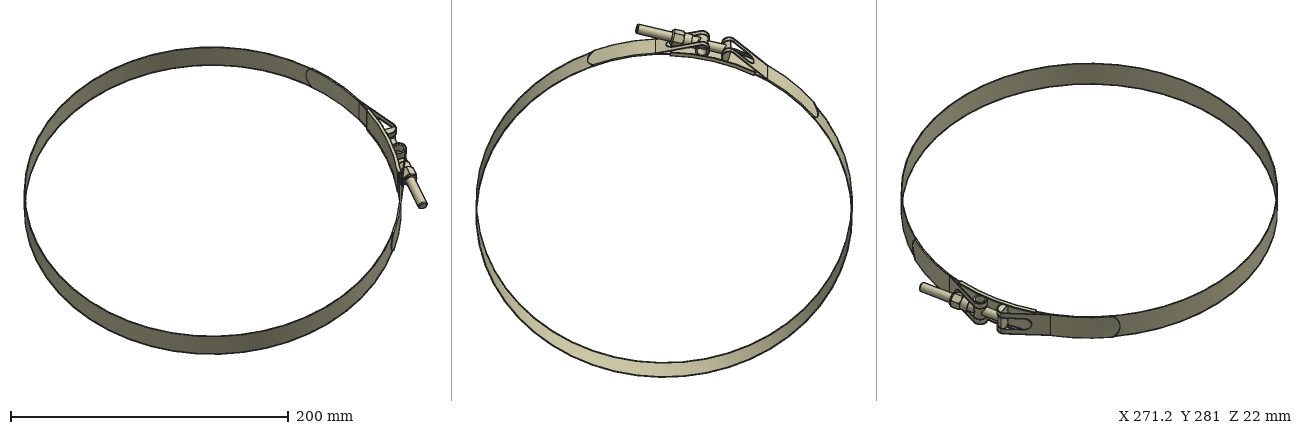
import cadquery as cq
import math


band_outer_radius = 135.61
strip_thickness = 0.6
strip_width = 20.0
loop_top_y = 145.36
loop_center_x = 10.1
kink_x = 42.0
strip_end_angle = 39.3
strip_end_rounding = 12.5

band_inner_radius = band_outer_radius - strip_thickness
ply_outer_radius = band_outer_radius + strip_thickness

loop_outer_radius = (loop_center_x**2 + loop_top_y**2 - band_inner_radius**2) / (
    2 * (loop_top_y + band_inner_radius)
)
loop_inner_radius = loop_outer_radius - strip_thickness
axis_y = loop_top_y - loop_outer_radius
loop_angle = math.degrees(math.atan2(loop_center_x, axis_y))
kink_angle = math.degrees(math.asin(kink_x / ply_outer_radius))

slot_width = 10.6
slot_end_left = 30.0
slot_end_right = 35.0

liner_half_length = 31.3
liner_web = 0.65
liner_width = 22.0
liner_lip_outer_radius = 137.0
liner_inner_radius = band_inner_radius - liner_web
liner_angle = math.degrees(math.asin(liner_half_length / liner_inner_radius))

bolt_radius = 3.5
bolt_end_x = 59.0
bolt_chamfer = 0.8
trunnion_bore_radius = 3.5
sleeve_nose_radius = 4.3
sleeve_radius = 5.0
sleeve_shoulder_x = 18.5
sleeve_end_x = 24.3
nut_across_flats = 10.4
nut_end_x = 33.0
nut_face_length = 1.2
nut_face_radius = 5.0
nut_corner_chamfer = 0.8


def polar(radius, angle):
    """Point at an angle in degrees from +Y, turning toward +X."""
    turn = math.radians(angle)
    return (radius * math.sin(turn), radius * math.cos(turn))


def loop_point(radius, angle):
    """Point on a circle around the right loop's centre, angle measured as in polar."""
    x, y = polar(radius, angle)
    return (loop_center_x + x, axis_y + y)


def sector(inner, outer, start, end, width):
    """Ring sector from the start to the end angle, centred on Z = 0."""
    middle = (start + end) / 2
    return (
        cq.Workplane("XY", origin=(0, 0, -width / 2))
        .moveTo(*polar(inner, start))
        .threePointArc(polar(inner, middle), polar(inner, end))
        .lineTo(*polar(outer, end))
        .threePointArc(polar(outer, middle), polar(outer, start))
        .close()
        .extrude(width)
    )


def cylinder_z(x, y, radius, length):
    """Cylinder along Z, centred on Z = 0."""
    return cq.Workplane("XY", origin=(x, y, -length / 2)).circle(radius).extrude(length)


def cylinder_x(start, end, radius):
    """Cylinder on the bolt axis."""
    return cq.Workplane("YZ", origin=(start, axis_y, 0)).circle(radius).extrude(end - start)


def loop_and_strap():
    """Right loop with the straight strap that runs down to the kink."""
    kink_out = polar(ply_outer_radius, kink_angle)
    kink_in = polar(band_outer_radius, kink_angle)
    run = kink_out[0] - loop_center_x
    rise = axis_y - kink_out[1]
    slope = math.atan2(rise, run) + math.asin(loop_outer_radius / math.hypot(run, rise))
    tangent = math.degrees(slope)
    touch = loop_angle - 180
    middle = (tangent + touch) / 2
    return (
        cq.Workplane("XY", origin=(0, 0, -strip_width / 2))
        .moveTo(*kink_out)
        .lineTo(*loop_point(loop_outer_radius, tangent))
        .threePointArc(loop_point(loop_outer_radius, middle), loop_point(loop_outer_radius, touch))
        .lineTo(*loop_point(loop_inner_radius, touch))
        .threePointArc(loop_point(loop_inner_radius, middle), loop_point(loop_inner_radius, tangent))
        .lineTo(*kink_in)
        .close()
        .extrude(strip_width)
    )


def outer_ply():
    """Right strip end lying on the outside of the band, with a rounded tip."""
    ply = sector(band_outer_radius, ply_outer_radius, kink_angle, strip_end_angle, strip_width)
    half_width = strip_width / 2
    corner_x = math.sqrt(strip_end_rounding**2 - half_width**2) - strip_end_rounding
    tip_shape = (
        cq.Workplane("XZ")
        .moveTo(-band_outer_radius, -half_width)
        .lineTo(corner_x, -half_width)
        .threePointArc((0, 0), (corner_x, half_width))
        .lineTo(-band_outer_radius, half_width)
        .close()
        .extrude(-2 * band_outer_radius)
        .rotate((0, 0, 0), (0, 0, 1), -strip_end_angle)
    )
    return ply.intersect(tip_shape)


def strap_slot(end_x):
    """Cutter for a round-ended slot through the right loop and strap, stopping at the band."""
    start_x = loop_center_x - 2 * loop_outer_radius
    length = end_x - start_x
    slot = (
        cq.Workplane("XZ", origin=((start_x + end_x) / 2, 0, 0))
        .slot2D(length, slot_width)
        .extrude(-2 * loop_top_y)
    )
    return slot.cut(cylinder_z(0, 0, band_outer_radius, 2 * strip_width))


def make_band():
    """Open ring with a slotted loop and an outer ply on each side."""
    band = sector(band_inner_radius, band_outer_radius, loop_angle, 360 - loop_angle, strip_width)
    ply = outer_ply()
    for slot_end, mirrored in ((slot_end_right, False), (slot_end_left, True)):
        end = loop_and_strap().cut(strap_slot(slot_end)).union(ply)
        if mirrored:
            end = end.mirror("YZ")
        band = band.union(end)
    return band


def make_liner():
    """Arc-shaped channel whose two lips enclose the edges of the band."""
    liner = sector(liner_inner_radius, liner_lip_outer_radius, -liner_angle, liner_angle, liner_width)
    channel = sector(
        band_inner_radius, 2 * liner_lip_outer_radius, -2 * liner_angle, 2 * liner_angle, strip_width
    )
    return liner.cut(channel)


def make_t_bolt():
    """Smooth shank with a half-round cross head that sits in the left loop."""
    head = cylinder_z(-loop_center_x, axis_y, loop_inner_radius, strip_width)
    keep_right = cq.Workplane("XY").box(2 * loop_center_x, 2 * loop_top_y, strip_width)
    head = head.intersect(keep_right)
    shank = cylinder_x(-loop_center_x, bolt_end_x, bolt_radius).faces(">X").chamfer(bolt_chamfer)
    return head.union(shank)


def make_trunnion():
    """Tube in the right loop, drilled across for the bolt."""
    tube = cylinder_z(loop_center_x, axis_y, loop_inner_radius, strip_width)
    tube = tube.cut(cylinder_z(loop_center_x, axis_y, trunnion_bore_radius, strip_width))
    return tube.cut(cylinder_x(0, 2 * loop_center_x, bolt_radius))


def make_sleeve():
    """Stepped spacer on the bolt; its nose is saddled to bear on the trunnion."""
    nose = cylinder_x(loop_center_x, sleeve_shoulder_x, sleeve_nose_radius)
    body = cylinder_x(sleeve_shoulder_x, sleeve_end_x, sleeve_radius)
    sleeve = nose.union(body).cut(cylinder_x(0, nut_end_x, bolt_radius))
    return sleeve.cut(cylinder_z(loop_center_x, axis_y, loop_inner_radius, strip_width))


def make_nut():
    """Hexagon nut with corners along Z and a round washer face at its far end."""
    across_corners = nut_across_flats / math.cos(math.pi / 6)
    hex_end_x = nut_end_x - nut_face_length
    hexagon = (
        cq.Workplane("YZ", origin=(sleeve_end_x, axis_y, 0))
        .polygon(6, across_corners)
        .extrude(hex_end_x - sleeve_end_x)
        .rotate((0, axis_y, 0), (1, axis_y, 0), 90)
    )
    corner_trim = cylinder_x(sleeve_end_x, hex_end_x, across_corners / 2)
    corner_trim = corner_trim.faces("<X").chamfer(nut_corner_chamfer)
    face = cylinder_x(hex_end_x, nut_end_x, nut_face_radius)
    nut = hexagon.intersect(corner_trim).union(face)
    return nut.cut(cylinder_x(0, bolt_end_x, bolt_radius))


band = make_band()
liner = make_liner()
t_bolt = make_t_bolt()
trunnion = make_trunnion()
sleeve = make_sleeve()
nut = make_nut()

bodies = (band, liner, t_bolt, trunnion, sleeve, nut)
result = cq.Compound.makeCompound([body.solids().val() for body in bodies])